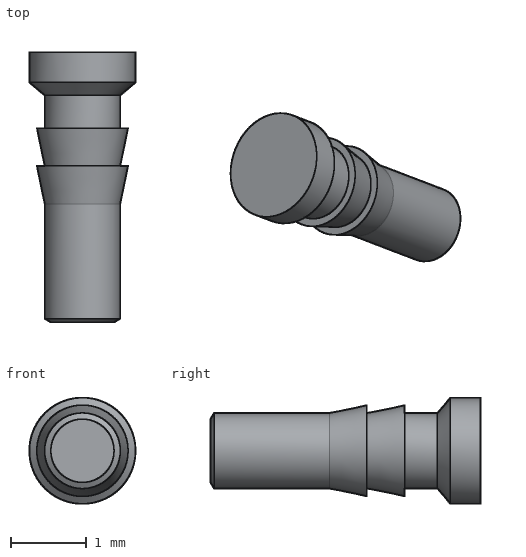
import cadquery as cq

total_length = 3.56
head_radius = 0.7
shaft_radius = 0.5
barb_radius = 0.6
tip_radius = 0.415

head_length = 0.4
head_taper_length = 0.17
first_barb_start = 1.0
barb_length = 0.5
barb_count = 2
tip_chamfer_length = 0.05


def make_shaft():
    """Plain shaft with a chamfered tip, running the full length."""
    chamfer_start = total_length - tip_chamfer_length
    return (
        cq.Workplane("XY")
        .lineTo(shaft_radius, 0)
        .lineTo(shaft_radius, -chamfer_start)
        .lineTo(tip_radius, -total_length)
        .lineTo(0, -total_length)
        .close()
        .revolve(360, (0, 0, 0), (0, 1, 0))
    )


def make_head():
    """Cylindrical head that tapers down to the shaft."""
    head_end = head_length + head_taper_length
    return (
        cq.Workplane("XY")
        .lineTo(head_radius, 0)
        .lineTo(head_radius, -head_length)
        .lineTo(shaft_radius, -head_end)
        .lineTo(0, -head_end)
        .close()
        .revolve(360, (0, 0, 0), (0, 1, 0))
    )


def make_barb(start):
    """Conical barb, widest at its head-side shoulder."""
    end = start + barb_length
    return (
        cq.Workplane("XY")
        .moveTo(0, -start)
        .lineTo(barb_radius, -start)
        .lineTo(shaft_radius, -end)
        .lineTo(0, -end)
        .close()
        .revolve(360, (0, 0, 0), (0, 1, 0))
    )


result = make_shaft().union(make_head())
for index in range(barb_count):
    result = result.union(make_barb(first_barb_start + index * barb_length))